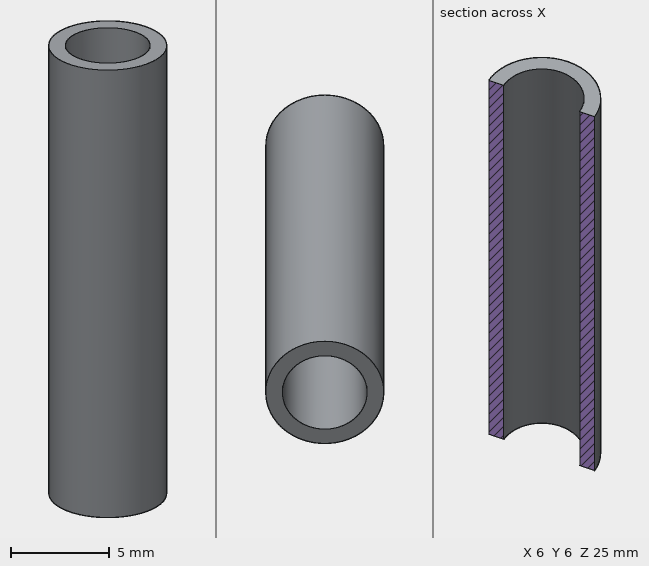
import cadquery as cq

length = 25.0
outer_diameter = 6.0
bore_diameter = 4.3

tube_profile = cq.Workplane("XY").circle(outer_diameter / 2).circle(bore_diameter / 2)
result = tube_profile.extrude(length)